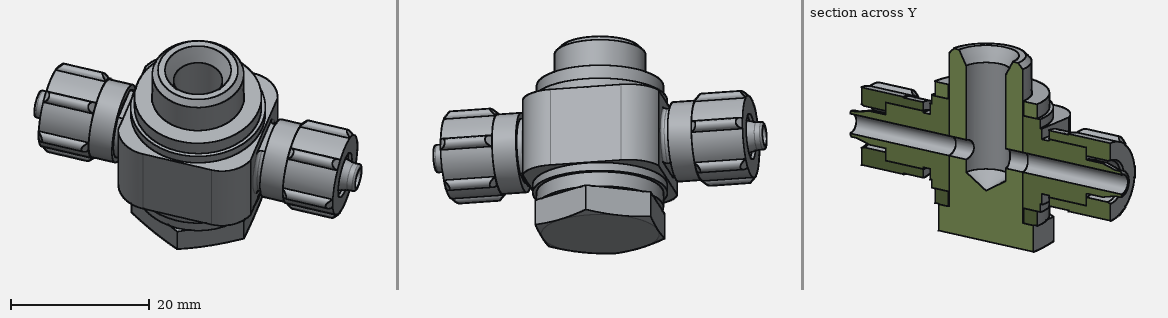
import cadquery as cq
import math


hex_sides = 6
hex_flats = 17.0
hex_height = 4.05
hex_corner_rise = 0.35
shank_d = 13.15
thread_length = 5.6
tip_chamfer = 0.8
bolt_bore_d = 7.0
bolt_mouth_d = 9.55
bolt_mouth_angle = 60
drill_angle = 118
bore_below_port = 3.4

washer_d = 18.3
washer_bore_d = 13.3
washer_height = 2.2

block_side = 20.0
block_height = 11.5
corner_radius = 5.05
side_flat = 12.95
front_flat = 10.4
boss_d = 19.4
lower_boss_height = 1.2
upper_boss_height = 1.35
port_d = 2.9

collar_d = 10.0
collar_flats = 8.32
collar_flare = 0.5
collar_end = 11.2
nozzle_thread_d = 8.9
nozzle_thread_end = 17.9
cone_d = 5.2
cone_start = 20.8
nose_d = 4.0
nose_start = 23.1
nozzle_end = 24.2
nose_round = 0.35

nut_d = 11.8
nut_collar_d = 11.5
nut_collar_length = 3.5
nut_grip_length = 7.55
nut_mouth_d = 6.6
nut_hole_d = 6.2
nut_mouth_depth = 0.5
rib_count = 6
rib_radius = 0.8
rib_circle_r = 5.95

lower_boss_base = hex_height + washer_height
block_base = lower_boss_base + lower_boss_height
port_z = block_base + block_height / 2
block_top = block_base + block_height
upper_washer_base = block_top + upper_boss_height
thread_base = upper_washer_base + washer_height
bolt_top = thread_base + thread_length

nut_grip_start = collar_end + nut_collar_length
nut_end = nut_grip_start + nut_grip_length

SIDES = (0, 180)


def disc(diameter, base, top):
    """Upright cylinder on the bolt axis between two levels."""
    return cq.Workplane("XY").workplane(offset=base).circle(diameter / 2).extrude(top - base)


def port_cylinder(diameter, start, end):
    """Cylinder on the port axis between two X positions."""
    return (
        cq.Workplane("YZ", origin=(start, 0, port_z))
        .circle(diameter / 2)
        .extrude(end - start)
    )


def cut_through_port(body):
    """Drill the flow passage right along the port axis."""
    return body.cut(port_cylinder(port_d, -nozzle_end, nozzle_end))


def make_hex_head():
    """Hexagon with flats facing X and its lower corners bevelled by a cone."""
    corner_r = hex_flats / 2 / math.cos(math.pi / hex_sides)
    bevel_slope = hex_corner_rise / (corner_r - hex_flats / 2)
    cone_r = hex_flats / 2 + hex_height / bevel_slope
    head = (
        cq.Workplane("XY")
        .polygon(hex_sides, 2 * corner_r)
        .extrude(hex_height)
        .rotate((0, 0, 0), (0, 0, 1), 180 / hex_sides)
    )
    bevel = (
        cq.Workplane("XZ")
        .polyline([(0, 0), (hex_flats / 2, 0), (cone_r, hex_height), (0, hex_height)])
        .close()
        .revolve(360, (0, 0, 0), (0, 1, 0))
    )
    return head.intersect(bevel)


def make_bolt_bore():
    """Blind bore with a conical mouth and a drill-point bottom."""
    bore_r = bolt_bore_d / 2
    mouth_r = bolt_mouth_d / 2
    mouth_depth = (mouth_r - bore_r) / math.tan(math.radians(bolt_mouth_angle / 2))
    bore_bottom = port_z - bore_below_port
    point_depth = bore_r / math.tan(math.radians(drill_angle / 2))
    return (
        cq.Workplane("XZ")
        .moveTo(0, bore_bottom - point_depth)
        .lineTo(bore_r, bore_bottom)
        .lineTo(bore_r, bolt_top - mouth_depth)
        .lineTo(mouth_r, bolt_top)
        .lineTo(0, bolt_top)
        .close()
        .revolve(360, (0, 0, 0), (0, 1, 0))
    )


def make_bolt():
    shank = disc(shank_d, hex_height, bolt_top).faces(">Z").chamfer(tip_chamfer)
    bolt = make_hex_head().union(shank).cut(make_bolt_bore())
    return cut_through_port(bolt)


def make_washer(base):
    top = base + washer_height
    return disc(washer_d, base, top).cut(disc(washer_bore_d, base, top))


def make_block():
    """Square block with large rounded corners that run out at the nozzle faces."""
    half = block_side / 2
    flat_x = front_flat / 2
    flat_y = side_flat / 2
    return (
        cq.Workplane("XY")
        .workplane(offset=block_base)
        .moveTo(-flat_x, -half)
        .lineTo(flat_x, -half)
        .radiusArc((half, -flat_y), -corner_radius)
        .lineTo(half, flat_y)
        .radiusArc((flat_x, half), -corner_radius)
        .lineTo(-flat_x, half)
        .radiusArc((-half, flat_y), -corner_radius)
        .lineTo(-half, -flat_y)
        .radiusArc((-flat_x, -half), -corner_radius)
        .close()
        .extrude(block_height)
    )


def make_collar():
    """Flared collar at the block face, with flats above and below."""
    face = block_side / 2
    collar_r = collar_d / 2
    collar = (
        cq.Workplane("XY")
        .moveTo(face, 0)
        .lineTo(face, collar_r + collar_flare)
        .radiusArc((face + collar_flare, collar_r), -collar_flare)
        .lineTo(collar_end, collar_r)
        .lineTo(collar_end, 0)
        .close()
        .revolve(360, (0, 0, 0), (1, 0, 0))
        .translate((0, 0, port_z))
    )
    flats = cq.Workplane("XY").box(2 * collar_end, 2 * collar_d, collar_flats)
    return collar.intersect(flats.translate((0, 0, port_z)))


def make_nozzle():
    """Nozzle on the +X side: collar, nut thread and tapered hose nose."""
    nose = (
        cq.Workplane("XY")
        .moveTo(collar_end, 0)
        .lineTo(collar_end, nozzle_thread_d / 2)
        .lineTo(nozzle_thread_end, nozzle_thread_d / 2)
        .lineTo(nozzle_thread_end, cone_d / 2)
        .lineTo(cone_start, cone_d / 2)
        .lineTo(nose_start, nose_d / 2)
        .lineTo(nozzle_end, nose_d / 2)
        .lineTo(nozzle_end, 0)
        .close()
        .revolve(360, (0, 0, 0), (1, 0, 0))
        .faces(">X")
        .edges()
        .fillet(nose_round)
        .translate((0, 0, port_z))
    )
    return make_collar().union(nose)


def make_housing():
    housing = make_block().union(disc(boss_d, lower_boss_base, upper_washer_base))
    nozzle = make_nozzle()
    for turn in SIDES:
        housing = housing.union(nozzle.rotate((0, 0, 0), (0, 0, 1), turn))
    housing = housing.cut(disc(shank_d, lower_boss_base, upper_washer_base))
    return cut_through_port(housing)


def make_rib():
    """Round grip rib on the +Y side of the nut, sloped at 45 degrees at both ends."""
    rib_top = rib_circle_r + rib_radius
    rib = (
        cq.Workplane("YZ", origin=(nut_grip_start, 0, 0))
        .center(rib_circle_r, 0)
        .circle(rib_radius)
        .extrude(nut_grip_length)
    )
    side_outline = (
        cq.Workplane("XY")
        .moveTo(nut_grip_start, rib_circle_r - rib_radius)
        .lineTo(nut_grip_start, rib_circle_r)
        .lineTo(nut_grip_start + rib_radius, rib_top)
        .lineTo(nut_end - rib_radius, rib_top)
        .lineTo(nut_end, rib_circle_r)
        .lineTo(nut_end, rib_circle_r - rib_radius)
        .close()
        .extrude(rib_radius, both=True)
    )
    return rib.intersect(side_outline).translate((0, 0, port_z))


def make_nut_mouth():
    """Conical lead-in at the outer end of the nut's hole."""
    return (
        cq.Workplane("YZ", origin=(nut_end - nut_mouth_depth, 0, port_z))
        .circle(nut_hole_d / 2)
        .workplane(offset=nut_mouth_depth)
        .circle(nut_mouth_d / 2)
        .loft()
    )


def make_nut(turn):
    """Clamping nut, built on the +X side and turned about Z to its nozzle."""
    nut = port_cylinder(nut_collar_d, collar_end, nut_grip_start)
    nut = nut.union(port_cylinder(nut_d, nut_grip_start, nut_end))
    rib = make_rib()
    for index in range(rib_count):
        angle = index * 360 / rib_count
        nut = nut.union(rib.rotate((0, 0, port_z), (1, 0, port_z), angle))
    nut = nut.cut(port_cylinder(nozzle_thread_d, collar_end, nozzle_thread_end))
    nut = nut.cut(port_cylinder(nut_hole_d, nozzle_thread_end, nut_end))
    nut = nut.cut(make_nut_mouth())
    return nut.rotate((0, 0, 0), (0, 0, 1), turn)


bolt = make_bolt()
housing = make_housing()
washers = [make_washer(base) for base in (hex_height, upper_washer_base)]
nuts = [make_nut(turn) for turn in SIDES]

result = cq.Compound.makeCompound(
    [bolt.val(), housing.val()] + [body.val() for body in washers + nuts]
)